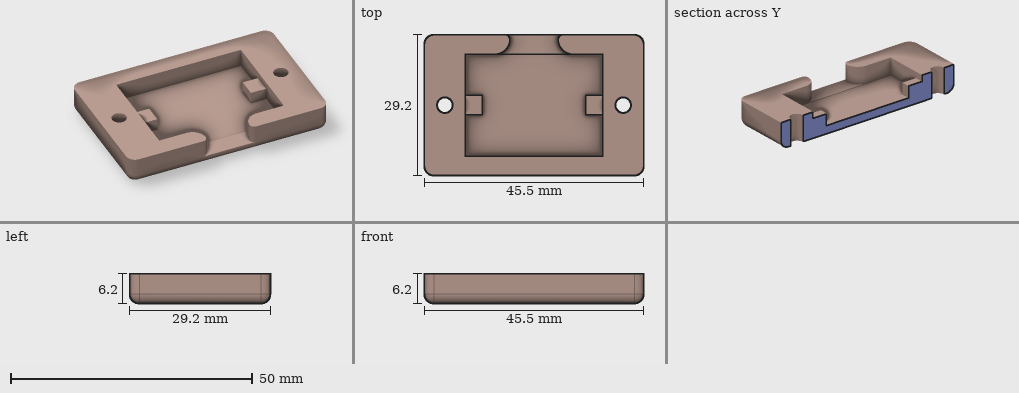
import cadquery as cq

length = 45.5
width = 29.2
height = 6.2
edge_radius = 2.0

pocket_length = 28.5
pocket_width = 21.1
pocket_depth = 4.2

opening_width = 10.0
opening_depth = 4.0
inner_lip_radius = 3.0
outer_lip_radius = 1.0

support_length = 3.55
support_width = 4.0
support_height = 2.75

hole_diameter = 3.2
hole_spacing = 36.95


def make_block():
    block = cq.Workplane("XY").box(length, width, height, centered=(True, True, False))
    return block.edges("|Z").fillet(edge_radius).faces("<Z").edges().fillet(edge_radius)


def make_pocket():
    return (
        cq.Workplane("XY", origin=(0, 0, height - pocket_depth))
        .rect(pocket_length, pocket_width)
        .extrude(pocket_depth)
    )


def make_opening():
    """Gap between two rounded wall ends, flaring inward and outward."""
    half = opening_width / 2
    inner_y = pocket_width / 2
    outer_y = width / 2
    inner_x = half + inner_lip_radius
    outer_x = half + outer_lip_radius
    inner_tangent_y = inner_y + inner_lip_radius
    outer_tangent_y = outer_y - outer_lip_radius
    return (
        cq.Workplane("XY", origin=(0, 0, height - opening_depth))
        .moveTo(-inner_x, inner_y)
        .radiusArc((-half, inner_tangent_y), -inner_lip_radius)
        .lineTo(-half, outer_tangent_y)
        .radiusArc((-outer_x, outer_y), -outer_lip_radius)
        .lineTo(outer_x, outer_y)
        .radiusArc((half, outer_tangent_y), -outer_lip_radius)
        .lineTo(half, inner_tangent_y)
        .radiusArc((inner_x, inner_y), -inner_lip_radius)
        .close()
        .extrude(opening_depth)
    )


def make_supports():
    support_x = (pocket_length - support_length) / 2
    return (
        cq.Workplane("XY", origin=(0, 0, height - pocket_depth))
        .pushPoints([(-support_x, 0), (support_x, 0)])
        .rect(support_length, support_width)
        .extrude(support_height)
    )


def make_screw_holes():
    return (
        cq.Workplane("XY")
        .pushPoints([(-hole_spacing / 2, 0), (hole_spacing / 2, 0)])
        .circle(hole_diameter / 2)
        .extrude(height)
    )


result = (
    make_block()
    .cut(make_pocket())
    .cut(make_opening())
    .union(make_supports())
    .cut(make_screw_holes())
)